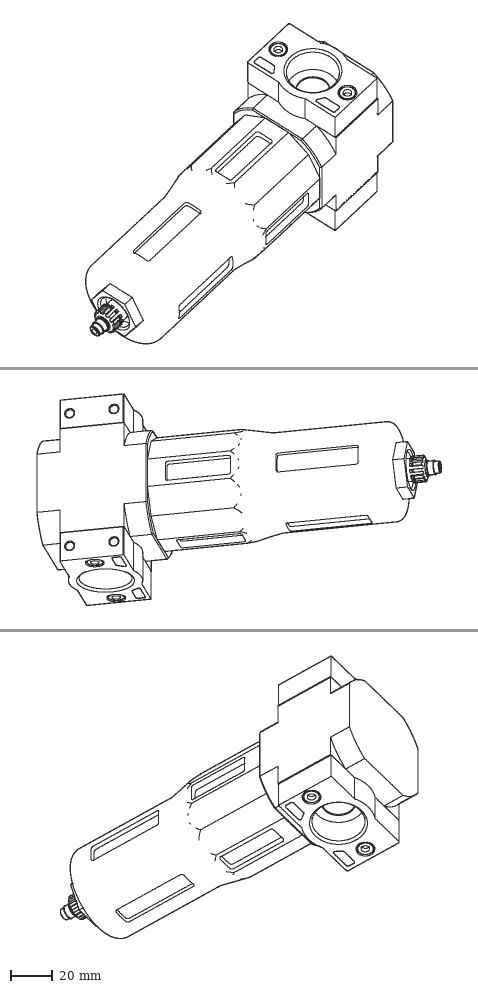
import cadquery as cq
import math


housing_size = 55.0
housing_half = housing_size / 2
corner_radius = 31.5
middle_block_length = 32.0
front_edge_chamfer = 0.7
through_bore_diameter = 16.4

overall_height = 85.0
plate_length_x = 55.0
plate_shift_x = -0.5
plate_width_y = middle_block_length
plate_boss_diameter = 36.0
plate_edge_chamfer = 0.5
port_diameter = 25.6
port_chamfer = 1.2
port_depth = 14.2
side_hole_diameter = 4.13
side_hole_mouth_diameter = 5.0
side_hole_depth = 10.0
side_hole_offset_y = 11.0
side_hole_height = housing_half + 7.5
label_length = 12.6
label_width = 4.7
label_slant = 3.2
label_depth = 0.2
label_corner_radius = 0.9
label_inner_x = 12.6
label_centre_y = -11.6

screw_offset_x = 21.6
screw_head_diameter = 8.5
screw_head_height = 5.0
screw_head_chamfer = 0.5
screw_head_recess = 0.3
counterbore_diameter = 9.0
shank_diameter = 5.0
shank_grip = 10.0
socket_diameter = 4.13
socket_depth = 2.5
socket_tip_angle = 118.0

guard_rear_y = -housing_half
guard_front_y = -146.3
guard_flats = 12
guard_across_flats = 54.0
guard_across_corners = guard_across_flats / math.cos(math.pi / guard_flats)
shoulder_rear_y = -68.6
shoulder_front_y = -85.8
guard_barrel_radius = 24.4
guard_front_fillet = 4.0
guard_front_wall = 4.0
window_width = 10.0
window_corner_radius = 1.2
rear_window = (-68.8, -36.4)
front_window = (-131.7, -90.8)
window_angles = (0, 90, 180, 270)

bowl_rear_radius = 24.0
bowl_front_radius = 22.0
bowl_step_y = -75.0
bowl_neck_diameter = 20.0
hex_across_flats = 24.0
hex_front_y = -152.0
hex_bore_diameter = 18.0
hex_bore_chamfer = 1.0
hex_bore_depth = 5.0

total_length = 194.2
drain_tip_y = housing_half - total_length
drain_root_diameter = 11.2
knurl_diameter = 13.0
knurl_rear_y = -152.8
knurl_front_y = -159.9
knurl_nose_length = 1.0
knurl_nose_diameter = 8.5
knurl_teeth = 12
tooth_width = 1.5
knurl_groove_diameter = 12.0
knurl_groove_rear_y = -153.8
knurl_groove_width = 0.6
neck_diameter = 7.1
rib_diameter = 7.5
rib_front_y = -160.9
rib_width = 0.3
nozzle_diameter = 6.8
collar_diameter = 7.1
collar_front_y = -164.0
collar_width = 0.2
tip_diameter = 6.0
tip_chamfer = 0.4
drain_hole_diameter = 3.0
drain_hole_depth = 5.0


def box(x_range, y_range, z_range):
    """Box between the given limits on each axis."""
    sizes = [high - low for low, high in (x_range, y_range, z_range)]
    low_corner = (x_range[0], y_range[0], z_range[0])
    return cq.Workplane("XY").box(*sizes, centered=False).translate(low_corner)


def rod_y(diameter, rear_y, front_y):
    """Cylinder on the Y axis from rear_y forward to front_y."""
    return cq.Workplane("XZ", origin=(0, rear_y, 0)).circle(diameter / 2).extrude(rear_y - front_y)


def prism_y(sides, across_corners, rear_y, front_y):
    """Regular prism on the Y axis with a corner on +X."""
    profile = cq.Workplane("XZ", origin=(0, rear_y, 0)).polygon(sides, across_corners)
    return profile.extrude(rear_y - front_y)


def rod_z(diameter, low_z, high_z, x=0.0):
    """Vertical cylinder at the given X."""
    return cq.Workplane("XY", origin=(x, 0, low_z)).circle(diameter / 2).extrude(high_z - low_z)


def turn_about_y(shape, angle):
    return shape.rotate((0, 0, 0), (0, 1, 0), angle)


def make_housing():
    square = (-housing_half, housing_half)
    cube = box(square, square, square)
    rounded = cube.intersect(rod_y(2 * corner_radius, housing_half, -housing_half))
    rounded = rounded.faces("<Y").edges().chamfer(front_edge_chamfer)
    middle = (-middle_block_length / 2, middle_block_length / 2)
    housing = rounded.union(box(square, middle, square))
    housing = housing.cut(rod_z(through_bore_diameter, -housing_half, housing_half))
    for x in (-screw_offset_x, screw_offset_x):
        for low_z in (-housing_half, housing_half - shank_grip):
            housing = housing.cut(rod_z(shank_diameter, low_z, low_z + shank_grip, x))
    return housing


def label_recess(side):
    """Shallow slanted label recess; side is +1 or -1 along X."""
    low_y = label_centre_y - label_width / 2
    high_y = label_centre_y + label_width / 2
    inner = plate_shift_x + side * label_inner_x
    outer = inner + side * label_length
    outline = [
        (inner, low_y),
        (outer, low_y),
        (outer, high_y),
        (inner + side * label_slant, high_y),
    ]
    recess = cq.Workplane("XY", origin=(0, 0, overall_height / 2 - label_depth))
    return recess.polyline(outline).close().extrude(label_depth).edges("|Z").fillet(label_corner_radius)


def side_hole(y):
    """Threaded hole drilled into the -X face, widened at the mouth."""
    face_x = plate_shift_x - plate_length_x / 2
    start = cq.Workplane("YZ", origin=(face_x, y, side_hole_height))
    mouth_depth = (side_hole_mouth_diameter - side_hole_diameter) / 2
    hole = start.circle(side_hole_diameter / 2).extrude(side_hole_depth)
    mouth = start.circle(side_hole_mouth_diameter / 2).extrude(mouth_depth, taper=45)
    return hole.union(mouth)


def make_upper_plate():
    top_z = overall_height / 2
    left_x = plate_shift_x - plate_length_x / 2
    half_width = plate_width_y / 2
    plate = box((left_x, left_x + plate_length_x), (-half_width, half_width), (housing_half, top_z))
    plate = plate.edges("|Z and <X").chamfer(plate_edge_chamfer)
    plate = plate.union(rod_z(plate_boss_diameter, housing_half, top_z))
    plate = plate.cut(rod_z(through_bore_diameter, housing_half, top_z))
    plate = plate.cut(rod_z(port_diameter, top_z - port_depth, top_z))
    plate = plate.faces(">Z").edges("%CIRCLE").edges(cq.selectors.RadiusNthSelector(0)).chamfer(port_chamfer)
    for x in (-screw_offset_x, screw_offset_x):
        plate = plate.cut(rod_z(shank_diameter, housing_half, top_z, x))
        seat_z = top_z - screw_head_recess - screw_head_height
        plate = plate.cut(rod_z(counterbore_diameter, seat_z, top_z, x))
    for y in (-side_hole_offset_y, side_hole_offset_y):
        plate = plate.cut(side_hole(y))
    for side in (-1, 1):
        plate = plate.cut(label_recess(side))
    return plate


def make_upper_screw(x):
    head_top_z = overall_height / 2 - screw_head_recess
    seat_z = head_top_z - screw_head_height
    screw = rod_z(screw_head_diameter, seat_z, head_top_z, x)
    screw = screw.faces(">Z").edges().chamfer(screw_head_chamfer)
    screw = screw.union(rod_z(shank_diameter, housing_half - shank_grip, seat_z, x))
    socket_radius = socket_diameter / 2
    tip_length = socket_radius / math.tan(math.radians(socket_tip_angle / 2))
    socket_outline = [
        (0, 0),
        (socket_radius, 0),
        (socket_radius, -socket_depth),
        (0, -socket_depth - tip_length),
    ]
    socket = cq.Workplane("XZ").polyline(socket_outline).close().revolve(360, (0, 0, 0), (0, 1, 0))
    return screw.cut(socket.translate((x, 0, head_top_z)))


def bowl_barrel():
    """The part of the bowl inside the guard, which is also the guard's cavity."""
    barrel = rod_y(2 * bowl_rear_radius, guard_rear_y, bowl_step_y)
    barrel = barrel.union(rod_y(2 * bowl_front_radius, bowl_step_y, guard_front_y + guard_front_wall))
    return barrel.union(rod_y(bowl_neck_diameter, guard_front_y + guard_front_wall, guard_front_y))


def window(ends, angle):
    """Radial window cutter, reaching from the axis out through the wall."""
    cutter = box((-window_width / 2, window_width / 2), ends, (0, guard_across_flats))
    cutter = cutter.edges("|Z").fillet(window_corner_radius)
    return turn_about_y(cutter, angle)


def make_guard():
    prism = prism_y(guard_flats, guard_across_corners, guard_rear_y, guard_front_y)
    prism = turn_about_y(prism, 180 / guard_flats)
    corner = guard_across_corners / 2
    envelope_outline = [
        (0, guard_rear_y),
        (corner, guard_rear_y),
        (corner, shoulder_rear_y),
        (guard_barrel_radius, shoulder_front_y),
        (guard_barrel_radius, guard_front_y),
        (0, guard_front_y),
    ]
    envelope = cq.Workplane("XY").polyline(envelope_outline).close().revolve(360, (0, 0, 0), (0, 1, 0))
    envelope = envelope.faces("<Y").edges().fillet(guard_front_fillet)
    guard = prism.intersect(envelope)
    guard = guard.cut(bowl_barrel())
    for ends in (rear_window, front_window):
        for angle in window_angles:
            guard = guard.cut(window(ends, angle))
    return guard


def make_bowl():
    bowl = bowl_barrel()
    hex_across_corners = hex_across_flats / math.cos(math.pi / 6)
    bowl = bowl.union(prism_y(6, hex_across_corners, guard_front_y, hex_front_y))
    bowl = bowl.cut(rod_y(hex_bore_diameter, hex_front_y + hex_bore_depth, hex_front_y))
    return bowl.faces("<Y").edges("%CIRCLE").chamfer(hex_bore_chamfer)


def knurl_blank():
    """Round blank with a conical nose and a narrow groove near its rear end."""
    nose_rear_y = knurl_front_y + knurl_nose_length
    groove_front_y = knurl_groove_rear_y - knurl_groove_width
    nose = cq.Workplane(
        cq.Solid.makeCone(
            knurl_diameter / 2,
            knurl_nose_diameter / 2,
            knurl_nose_length,
            pnt=cq.Vector(0, nose_rear_y, 0),
            dir=cq.Vector(0, -1, 0),
        )
    )
    blank = rod_y(knurl_diameter, knurl_rear_y, nose_rear_y).union(nose)
    groove = rod_y(knurl_diameter, knurl_groove_rear_y, groove_front_y)
    groove = groove.cut(rod_y(knurl_groove_diameter, knurl_groove_rear_y, groove_front_y))
    return blank.cut(groove)


def make_knurl():
    knurl = rod_y(drain_root_diameter, knurl_rear_y, knurl_front_y)
    tooth = box((0, knurl_diameter), (knurl_front_y, knurl_rear_y), (-tooth_width / 2, tooth_width / 2))
    for index in range(knurl_teeth):
        knurl = knurl.union(turn_about_y(tooth, index * 360 / knurl_teeth))
    return knurl.intersect(knurl_blank())


def make_drain():
    drain = rod_y(drain_root_diameter, hex_front_y + hex_bore_depth, knurl_rear_y)
    drain = drain.union(make_knurl())
    drain = drain.union(rod_y(neck_diameter, knurl_front_y, rib_front_y))
    drain = drain.union(rod_y(rib_diameter, rib_front_y + rib_width, rib_front_y))
    drain = drain.union(rod_y(nozzle_diameter, rib_front_y, collar_front_y))
    drain = drain.union(rod_y(collar_diameter, collar_front_y + collar_width, collar_front_y))
    tip = rod_y(tip_diameter, collar_front_y, drain_tip_y)
    drain = drain.union(tip.faces("<Y").edges().chamfer(tip_chamfer))
    return drain.cut(rod_y(drain_hole_diameter, drain_tip_y + drain_hole_depth, drain_tip_y))


housing = make_housing()
upper_plate = make_upper_plate()
upper_screws = [make_upper_screw(x) for x in (-screw_offset_x, screw_offset_x)]
upper_bodies = [upper_plate, *upper_screws]
lower_bodies = [body.mirror("XY") for body in upper_bodies]
guard = make_guard()
bowl = make_bowl()
drain = make_drain()

bodies = [housing, *upper_bodies, *lower_bodies, guard, bowl, drain]
result = cq.Compound.makeCompound([body.solids().val() for body in bodies])